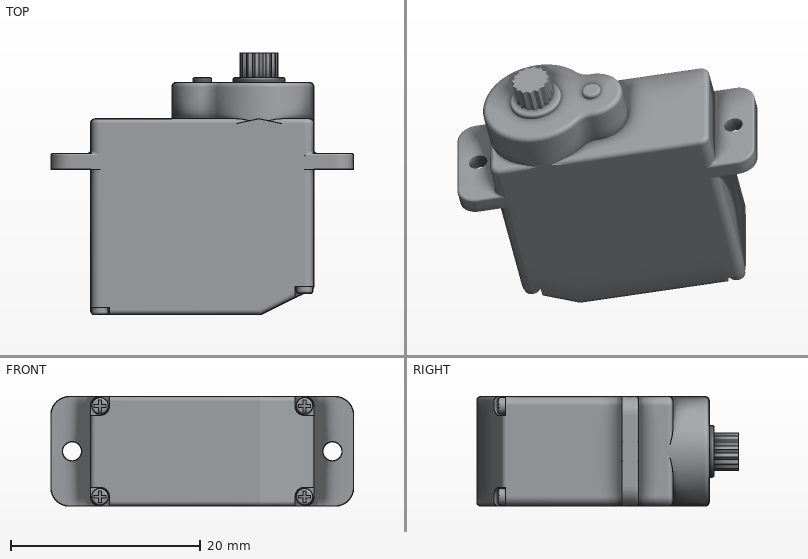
import cadquery as cq
import math


CASE_WIDTH = 23.6
CASE_DEPTH = 20.7
THICKNESS = 11.6
CORNER_RADIUS = 1.0
EDGE_RADIUS = 0.5
BEVEL_START_X = 6.17
BEVEL_HEIGHT = 2.8
HALF_WIDTH = CASE_WIDTH / 2
HALF_THICKNESS = THICKNESS / 2

EAR_SPAN = 32.0
EAR_BOTTOM = 15.35
EAR_THICKNESS = 1.7
EAR_CORNER_RADIUS = 2.0
EAR_EDGE_RADIUS = 0.25
EAR_HOLE_DIAMETER = 2.0
EAR_HOLE_X = 13.75
EAR_TOP = EAR_BOTTOM + EAR_THICKNESS

HOUSING_HEIGHT = 3.85
SHAFT_X = HALF_WIDTH - HALF_THICKNESS
LARGE_RADIUS = HALF_THICKNESS
SMALL_RADIUS = 3.2
BLEND_RADIUS = 2.0
HOUSING_TOP = CASE_DEPTH + HOUSING_HEIGHT

COLLAR_DIAMETER = 5.5
PIN_DIAMETER = 2.0
STEP_HEIGHT = 0.5
STEP_EDGE_RADIUS = 0.25

SHAFT_TOP = 27.65
TOOTH_COUNT = 15
TIP_RADIUS = 2.0
ROOT_RADIUS = 1.75

SCREW_DIAMETER = 1.75
SCREW_EDGE_RADIUS = 0.25
SCREW_HEIGHT = 0.75
RECESS_RADIUS = 1.0
CROSS_LENGTH = SCREW_DIAMETER - 2 * SCREW_EDGE_RADIUS
CROSS_WIDTH = 0.3
CROSS_DEPTH = 0.25
SCREW_X = HALF_WIDTH - CORNER_RADIUS
SCREW_Z = HALF_THICKNESS - CORNER_RADIUS
LEFT_FLOOR = SCREW_HEIGHT
RIGHT_FLOOR = 3.0


def section_at(y):
    """Workplane at height y whose axes are X and Z, extruding toward -Y."""
    return cq.Workplane("XZ", origin=(0, y, 0))


def make_case():
    """Box with rounded upright corners."""
    case = section_at(CASE_DEPTH).rect(CASE_WIDTH, THICKNESS).extrude(CASE_DEPTH)
    return case.edges("|Y").fillet(CORNER_RADIUS)


def make_ears():
    """Flange plate that passes through the case, rounded on the shaft side."""
    plate = section_at(EAR_TOP).rect(EAR_SPAN, THICKNESS).extrude(EAR_THICKNESS)
    plate = plate.edges("|Y").fillet(EAR_CORNER_RADIUS)
    return plate.faces(">Y").edges().fillet(EAR_EDGE_RADIUS)


def blend_ear_roots(body):
    """Round the inner corner where the ears meet the case on the shaft side."""
    upright = body.edges("|Z")
    right_root = upright.edges(cq.selectors.NearestToPointSelector((HALF_WIDTH, EAR_TOP, 0)))
    left_root = upright.edges(cq.selectors.NearestToPointSelector((-HALF_WIDTH, EAR_TOP, 0)))
    return right_root.add(left_root).fillet(EAR_EDGE_RADIUS)


def cut_bevel(body):
    """Slope off the cover corner on the +X side."""
    wedge = (
        cq.Workplane("XY")
        .workplane(offset=-HALF_THICKNESS)
        .moveTo(BEVEL_START_X, 0)
        .lineTo(HALF_WIDTH, 0)
        .lineTo(HALF_WIDTH, BEVEL_HEIGHT)
        .close()
        .extrude(THICKNESS)
    )
    return body.cut(wedge)


def round_case_edges(body):
    """Round the rims of the cover end, bevel included, and of the shaft end."""
    bevel_direction = cq.Vector(BEVEL_HEIGHT, BEVEL_START_X - HALF_WIDTH, 0)
    bevel = body.faces(cq.selectors.DirectionMinMaxSelector(bevel_direction))
    cover_edges = body.faces("<Y").edges().add(bevel.edges())
    body = cover_edges.fillet(EDGE_RADIUS)
    return body.faces(">Y").edges().fillet(EDGE_RADIUS)


def cut_ear_holes(body):
    holes = (
        section_at(EAR_TOP)
        .pushPoints([(-EAR_HOLE_X, 0), (EAR_HOLE_X, 0)])
        .circle(EAR_HOLE_DIAMETER / 2)
        .extrude(EAR_THICKNESS)
    )
    return body.cut(holes)


def make_housing():
    """Two-lobed gear housing with a rounded top rim, its foot sunk into the case.

    Each blend arc is tangent to both rounds, so its centre lies at the sum of the radii from each.
    """
    to_small = SMALL_RADIUS + BLEND_RADIUS
    to_large = LARGE_RADIUS + BLEND_RADIUS
    blend_x = (SHAFT_X**2 + to_small**2 - to_large**2) / (2 * SHAFT_X)
    blend_z = math.sqrt(to_small**2 - blend_x**2)
    small_x = blend_x * SMALL_RADIUS / to_small
    small_z = blend_z * SMALL_RADIUS / to_small
    large_x = SHAFT_X + (blend_x - SHAFT_X) * LARGE_RADIUS / to_large
    large_z = blend_z * LARGE_RADIUS / to_large
    mid_offset = blend_x - SHAFT_X / 2
    blend_length = math.hypot(mid_offset, blend_z)
    mid_x = blend_x - mid_offset * BLEND_RADIUS / blend_length
    mid_z = blend_z - blend_z * BLEND_RADIUS / blend_length
    housing = (
        section_at(HOUSING_TOP)
        .moveTo(small_x, small_z)
        .threePointArc((-SMALL_RADIUS, 0), (small_x, -small_z))
        .threePointArc((mid_x, -mid_z), (large_x, -large_z))
        .threePointArc((SHAFT_X + LARGE_RADIUS, 0), (large_x, large_z))
        .threePointArc((mid_x, mid_z), (small_x, small_z))
        .close()
        .extrude(HOUSING_HEIGHT + EDGE_RADIUS)
    )
    return housing.faces(">Y").edges().fillet(EDGE_RADIUS)


def make_rim_peaks():
    """Roof-shaped fill where the housing reaches the rounded rim of the case."""
    base = CASE_DEPTH - EDGE_RADIUS
    half_span = math.sqrt(LARGE_RADIUS**2 - (HALF_THICKNESS - EDGE_RADIUS) ** 2)
    return (
        cq.Workplane("XY")
        .workplane(offset=-HALF_THICKNESS)
        .moveTo(SHAFT_X - half_span, base)
        .lineTo(SHAFT_X + half_span, base)
        .lineTo(SHAFT_X, CASE_DEPTH)
        .close()
        .extrude(THICKNESS)
    )


def make_step(x, diameter):
    """Low round step on top of the housing."""
    step = section_at(HOUSING_TOP + STEP_HEIGHT).center(x, 0).circle(diameter / 2).extrude(STEP_HEIGHT)
    return step.faces(">Y").edges().fillet(STEP_EDGE_RADIUS)


def make_shaft():
    """Output shaft with pointed spline teeth, one tooth pointing to -Z."""
    half_pitch = math.pi / TOOTH_COUNT
    points = []
    for i in range(2 * TOOTH_COUNT):
        radius = ROOT_RADIUS if i % 2 else TIP_RADIUS
        angle = i * half_pitch - math.pi / 2
        points.append((SHAFT_X + radius * math.cos(angle), radius * math.sin(angle)))
    return section_at(SHAFT_TOP).polyline(points).close().extrude(SHAFT_TOP - HOUSING_TOP)


def make_recess(x_side, z_side, floor):
    """Cutter for a screw recess: a round opened out to the two case sides."""
    x = x_side * SCREW_X
    z = z_side * SCREW_Z
    pocket = section_at(floor).center(x, z).circle(RECESS_RADIUS).extrude(floor)
    x_arm = section_at(floor).center(x + x_side * RECESS_RADIUS / 2, z)
    x_arm = x_arm.rect(RECESS_RADIUS, 2 * RECESS_RADIUS).extrude(floor)
    z_arm = section_at(floor).center(x, z + z_side * RECESS_RADIUS / 2)
    z_arm = z_arm.rect(2 * RECESS_RADIUS, RECESS_RADIUS).extrude(floor)
    return pocket.union(x_arm).union(z_arm)


def make_screw(x, z, floor):
    """Screw head with a rounded rim and a cross slot, standing on the recess floor."""
    head = section_at(floor).center(x, z).circle(SCREW_DIAMETER / 2).extrude(SCREW_HEIGHT)
    head = head.faces("<Y").edges().fillet(SCREW_EDGE_RADIUS)
    slot_plane = section_at(floor - SCREW_HEIGHT + CROSS_DEPTH).center(x, z)
    head = head.cut(slot_plane.rect(CROSS_LENGTH, CROSS_WIDTH).extrude(CROSS_DEPTH))
    return head.cut(slot_plane.rect(CROSS_WIDTH, CROSS_LENGTH).extrude(CROSS_DEPTH))


def add_screws(body):
    for x_side, floor in ((-1, LEFT_FLOOR), (1, RIGHT_FLOOR)):
        for z_side in (-1, 1):
            body = body.cut(make_recess(x_side, z_side, floor))
            body = body.union(make_screw(x_side * SCREW_X, z_side * SCREW_Z, floor))
    return body


body = make_case().union(make_ears())
body = blend_ear_roots(body)
body = cut_bevel(body)
body = round_case_edges(body)
body = cut_ear_holes(body)
body = body.union(make_rim_peaks()).union(make_housing())
body = body.union(make_step(SHAFT_X, COLLAR_DIAMETER)).union(make_step(0, PIN_DIAMETER))
body = body.union(make_shaft())
result = add_screws(body)